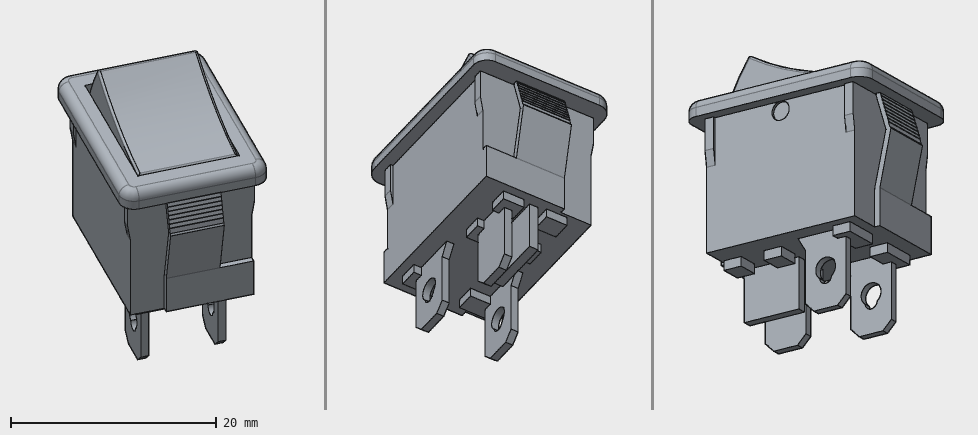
import cadquery as cq


BEZEL_LENGTH = 21.2
BEZEL_WIDTH = 15.1
BEZEL_HEIGHT = 1.97
BEZEL_CORNER_RADIUS = 1.55
BEZEL_EDGE_RADIUS = 1.02
OPENING_LENGTH = 15.9
OPENING_WIDTH = 10.45

BODY_LENGTH = 17.37
BODY_WIDTH = 12.5
BODY_DEPTH = 14.02
CORNER_RIB_LENGTH = 1.02
CORNER_RIB_PROUD = 0.28
CORNER_RIB_STRAIGHT = 3.33
CORNER_RIB_DEPTH = 5.0
DIMPLE_DIAMETER = 2.0
DIMPLE_DEPTH = 0.28

ROCKER_WIDTH = 10.3
ROCKER_EDGE_RADIUS = 0.25
ROCKER_PEAK = (-4.45, 6.23)
ROCKER_DISH_MIDDLE = (1.33, 3.45)
ROCKER_LOW_END = (7.85, 1.97)
ROCKER_FACE_MIDDLE = (-5.8, 4.12)
ROCKER_FACE_FOOT = (-7.67, 0.0)

CLIP_HALF_WIDTH = 2.75
CLIP_PLATE_X = 9.3
CLIP_PLATE_TOP = -10.0
CLIP_ROOT_GAP = 0.1
CLIP_ELBOW_X = 10.6
CLIP_ELBOW_Z = -4.03
CLIP_THICKNESS = 0.6
CLIP_GRIP_X = 10.45
CLIP_GRIP_END_Z = -3.84
TOOTH_FIRST_Z = -0.35
TOOTH_PITCH = 0.42
TOOTH_COUNT = 8
TOOTH_HEIGHT = 0.07

TERMINAL_BOTTOM = -22.05
TERMINAL_WIDTH = 4.77
TERMINAL_CHAMFER = 1.0
SIDE_TERMINAL_X = 4.03
SIDE_TERMINAL_Y = 3.98
SIDE_TERMINAL_THICKNESS = 0.82
SHOULDER_WIDTH = 0.85
SHOULDER_HEIGHT = 1.4
KEYHOLE_Z = -17.85
KEYHOLE_RADIUS = 1.15
KEYHOLE_SLOT_RADIUS = 0.7
KEYHOLE_SLOT_DROP = 0.87
REAR_TERMINAL_X = -4.95
REAR_TERMINAL_Y = 2.48
REAR_TERMINAL_THICKNESS = 0.87
BARRIER_LENGTH = 6.4
BARRIER_X = -4.9
BARRIER_THICKNESS = 1.0
BARRIER_BOTTOM = -19.51

FOOT_LENGTH = 2.03
FOOT_HEIGHT = 1.02
FOOT_INNER_Y = 1.3
SHORT_FOOT_OUTER_Y = 3.67
LONG_FOOT_OUTER_Y = 5.25
FEET = (
    (-7.35, SHORT_FOOT_OUTER_Y),
    (-2.65, SHORT_FOOT_OUTER_Y),
    (6.45, LONG_FOOT_OUTER_Y),
)


def box_between(x_range, y_range, z_range):
    """Box given by its limits along each axis."""
    return cq.Workplane("XY").box(
        x_range[1] - x_range[0],
        y_range[1] - y_range[0],
        z_range[1] - z_range[0],
        centered=False,
    ).translate((x_range[0], y_range[0], z_range[0]))


def extrude_along_y(outline, y_center, thickness):
    """Extrude a closed XZ outline symmetrically about y_center."""
    return outline.extrude(thickness / 2, both=True).translate((0, y_center, 0))


def make_bezel():
    bezel = (
        cq.Workplane("XY")
        .rect(BEZEL_LENGTH, BEZEL_WIDTH)
        .extrude(BEZEL_HEIGHT)
        .edges("|Z")
        .fillet(BEZEL_CORNER_RADIUS)
        .faces(">Z")
        .edges()
        .fillet(BEZEL_EDGE_RADIUS)
    )
    opening = cq.Workplane("XY").rect(OPENING_LENGTH, OPENING_WIDTH).extrude(BEZEL_HEIGHT)
    return bezel.cut(opening)


def make_corner_rib():
    """Rib on the +X +Y corner that fades into the side of the body."""
    inner_y = BODY_WIDTH / 2 - CORNER_RIB_PROUD
    outer_y = BODY_WIDTH / 2 + CORNER_RIB_PROUD
    return (
        cq.Workplane("YZ", origin=(BODY_LENGTH / 2 - CORNER_RIB_LENGTH, 0, 0))
        .moveTo(inner_y, 0)
        .lineTo(outer_y, 0)
        .lineTo(outer_y, -CORNER_RIB_STRAIGHT)
        .lineTo(BODY_WIDTH / 2, -CORNER_RIB_DEPTH)
        .lineTo(inner_y, -CORNER_RIB_DEPTH)
        .close()
        .extrude(CORNER_RIB_LENGTH)
    )


def make_body():
    body = cq.Workplane("XY").rect(BODY_LENGTH, BODY_WIDTH).extrude(-BODY_DEPTH)
    right_ribs = make_corner_rib()
    right_ribs = right_ribs.union(right_ribs.mirror("XZ"))
    body = body.union(right_ribs).union(right_ribs.mirror("YZ"))
    dimple = (
        cq.Workplane("XZ", origin=(0, -BODY_WIDTH / 2, -DIMPLE_DIAMETER / 2))
        .circle(DIMPLE_DIAMETER / 2)
        .extrude(-DIMPLE_DEPTH)
    )
    return body.cut(dimple)


def make_rocker():
    outline = (
        cq.Workplane("XZ")
        .moveTo(*ROCKER_FACE_FOOT)
        .threePointArc(ROCKER_FACE_MIDDLE, ROCKER_PEAK)
        .threePointArc(ROCKER_DISH_MIDDLE, ROCKER_LOW_END)
        .lineTo(ROCKER_LOW_END[0], 0)
        .close()
    )
    rocker = extrude_along_y(outline, 0, ROCKER_WIDTH)
    return rocker.edges("not(<Z or |Z)").fillet(ROCKER_EDGE_RADIUS)


def make_clip():
    """Spring clip on the +X end, with a toothed grip and a plate beside its foot."""
    body_end = BODY_LENGTH / 2
    grip_slope = (CLIP_GRIP_X - CLIP_PLATE_X) / CLIP_GRIP_END_Z
    outline = (
        cq.Workplane("XZ")
        .moveTo(body_end, -BODY_DEPTH)
        .lineTo(CLIP_PLATE_X, -BODY_DEPTH)
        .lineTo(CLIP_PLATE_X, CLIP_PLATE_TOP)
        .lineTo(CLIP_ELBOW_X, CLIP_ELBOW_Z)
        .lineTo(CLIP_GRIP_X, CLIP_GRIP_END_Z)
    )
    for tooth in reversed(range(TOOTH_COUNT)):
        tooth_z = TOOTH_FIRST_Z - tooth * TOOTH_PITCH
        root_x = CLIP_PLATE_X + grip_slope * tooth_z
        outline = outline.lineTo(root_x, tooth_z).lineTo(root_x + TOOTH_HEIGHT, tooth_z)
    outline = (
        outline.lineTo(CLIP_PLATE_X, 0)
        .lineTo(body_end + CLIP_ROOT_GAP, 0)
        .lineTo(CLIP_ELBOW_X - CLIP_THICKNESS, CLIP_ELBOW_Z)
        .lineTo(body_end, CLIP_PLATE_TOP)
        .close()
    )
    spring = extrude_along_y(outline, 0, 2 * CLIP_HALF_WIDTH)
    plate = box_between(
        (body_end, CLIP_PLATE_X), (CLIP_HALF_WIDTH, BODY_WIDTH / 2), (-BODY_DEPTH, CLIP_PLATE_TOP)
    )
    return spring.union(plate)


def make_blade(x_center, y_center, thickness):
    """Flat terminal blade with two chamfered lower corners."""
    outline = (
        cq.Workplane("XZ")
        .moveTo(x_center - TERMINAL_WIDTH / 2, -BODY_DEPTH)
        .lineTo(x_center - TERMINAL_WIDTH / 2, TERMINAL_BOTTOM + TERMINAL_CHAMFER)
        .lineTo(x_center - TERMINAL_WIDTH / 2 + TERMINAL_CHAMFER, TERMINAL_BOTTOM)
        .lineTo(x_center + TERMINAL_WIDTH / 2 - TERMINAL_CHAMFER, TERMINAL_BOTTOM)
        .lineTo(x_center + TERMINAL_WIDTH / 2, TERMINAL_BOTTOM + TERMINAL_CHAMFER)
        .lineTo(x_center + TERMINAL_WIDTH / 2, -BODY_DEPTH)
        .close()
    )
    return extrude_along_y(outline, y_center, thickness)


def make_side_terminal(y_center):
    """Blade with a sloping shoulder at its root and a keyhole through it."""
    blade = make_blade(SIDE_TERMINAL_X, y_center, SIDE_TERMINAL_THICKNESS)
    edge_x = SIDE_TERMINAL_X - TERMINAL_WIDTH / 2
    shoulder = (
        cq.Workplane("XZ")
        .moveTo(edge_x, -BODY_DEPTH)
        .lineTo(edge_x - SHOULDER_WIDTH, -BODY_DEPTH)
        .lineTo(edge_x, -BODY_DEPTH - SHOULDER_HEIGHT)
        .close()
    )
    blade = blade.union(extrude_along_y(shoulder, y_center, SIDE_TERMINAL_THICKNESS))
    for radius, drop in ((KEYHOLE_RADIUS, 0), (KEYHOLE_SLOT_RADIUS, KEYHOLE_SLOT_DROP)):
        hole = cq.Workplane("XZ").center(SIDE_TERMINAL_X, KEYHOLE_Z - drop).circle(radius)
        blade = blade.cut(extrude_along_y(hole, y_center, 2 * SIDE_TERMINAL_THICKNESS))
    return blade


def make_barrier():
    """Plain plate on the center line, between the terminals."""
    return box_between(
        (BARRIER_X - BARRIER_LENGTH / 2, BARRIER_X + BARRIER_LENGTH / 2),
        (-BARRIER_THICKNESS / 2, BARRIER_THICKNESS / 2),
        (BARRIER_BOTTOM, -BODY_DEPTH),
    )


def make_feet():
    feet = cq.Workplane("XY")
    for x_center, outer_y in FEET:
        foot = box_between(
            (x_center - FOOT_LENGTH / 2, x_center + FOOT_LENGTH / 2),
            (FOOT_INNER_Y, outer_y),
            (-BODY_DEPTH - FOOT_HEIGHT, -BODY_DEPTH),
        )
        feet = feet.union(foot).union(foot.mirror("XZ"))
    return feet


clip = make_clip()
result = (
    make_body()
    .union(make_bezel())
    .union(make_rocker())
    .union(clip)
    .union(clip.mirror("YZ"))
    .union(make_side_terminal(SIDE_TERMINAL_Y))
    .union(make_side_terminal(-SIDE_TERMINAL_Y))
    .union(make_blade(REAR_TERMINAL_X, REAR_TERMINAL_Y, REAR_TERMINAL_THICKNESS))
    .union(make_barrier())
    .union(make_feet())
)